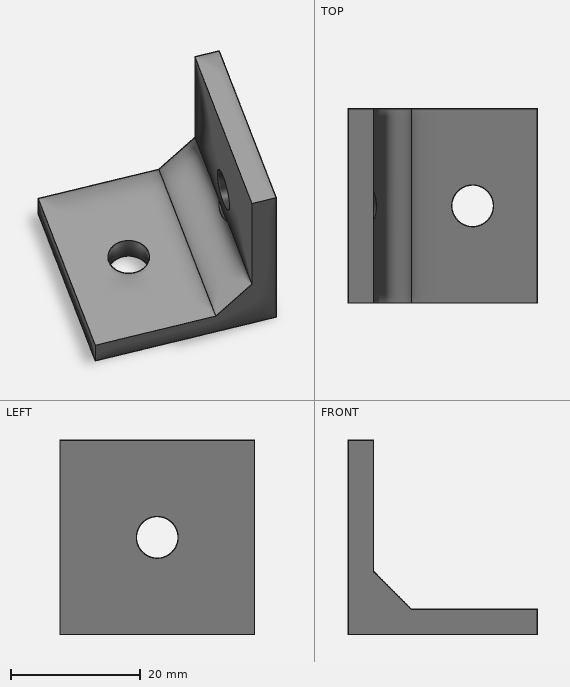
import cadquery as cq

base_length = 29.2
width = 30.0
height = 30.0

thickness = 3.93
gusset_leg = 5.82

hole_diameter = 6.4
base_hole_x = 19.2
wall_hole_z = height / 2

head_clearance_diameter = 11.4


def bracket_body():
    """L-shaped section with a sloped inside corner, centred on Y = 0."""
    gusset_end = thickness + gusset_leg
    outline = [
        (0, 0),
        (base_length, 0),
        (base_length, thickness),
        (gusset_end, thickness),
        (thickness, gusset_end),
        (thickness, height),
        (0, height),
    ]
    return cq.Workplane("XZ").polyline(outline).close().extrude(width / 2, both=True)


def wall_cylinder(diameter, start_x, end_x):
    """Cylinder along X on the axis of the wall hole."""
    return (
        cq.Workplane("YZ", origin=(start_x, 0, wall_hole_z))
        .circle(diameter / 2)
        .extrude(end_x - start_x)
    )


wall_hole = wall_cylinder(hole_diameter, 0, thickness)
head_clearance = wall_cylinder(head_clearance_diameter, thickness, base_length)
base_hole = (
    cq.Workplane("XY", origin=(base_hole_x, 0, 0))
    .circle(hole_diameter / 2)
    .extrude(thickness)
)

result = bracket_body().cut(wall_hole).cut(head_clearance).cut(base_hole)